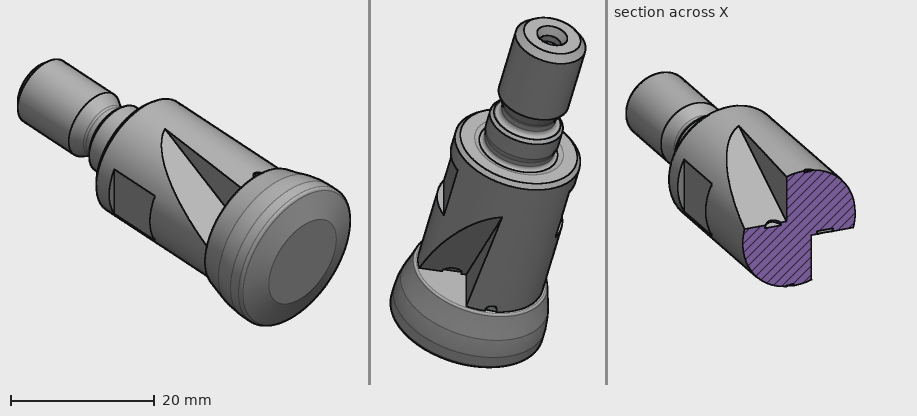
import cadquery as cq
import math

TOTAL_LENGTH = 51.8
BODY_START = 19.7
HEAD_START = 42.05

PILOT_RADIUS = 10.1 / 2
PILOT_END = 11.0
PILOT_CHAMFER = 1.0
NECK_RADIUS = 7.7 / 2
NECK_CONE_ANGLE = math.radians(30)
NECK_BLEND_START = 12.8
NECK_START = 13.15
NECK_END = 13.95
COLLAR_START = 14.7
COLLAR_RADIUS = 10.5 / 2
COLLAR_CHAMFER = 0.45
COLLAR_END = 17.8
UNDERCUT_START = 18.65
UNDERCUT_END = 19.25
UNDERCUT_RADIUS = 10.0 / 2
UNDERCUT_FILLET = 0.6
UNDERCUT_RIM_RADIUS = 6.35

BODY_RADIUS = 18.0 / 2
BODY_CHAMFER = 0.6
FLAT_START = 22.85
FLAT_LENGTH = 8.0
ACROSS_FLATS = 16.0

HEAD_RADIUS = 21.95 / 2
HEAD_REAR_RADIUS = 9.6
HEAD_TIP_RADIUS = 6.7
HEAD_SHOULDER = 47.15
HEAD_CROWN_START = 50.5
REAR_ROUND = 0.35
SHOULDER_ROUND = 10.35
CROWN_ROUND = 0.5

CENTRE_HOLE_RADIUS = 3.0 / 2
CENTRE_MOUTH_RADIUS = 2.2
CENTRE_CONE_HALF_ANGLE = math.radians(30)
CENTRE_PILOT_LENGTH = 1.05
DRILL_TIP_HALF_ANGLE = math.radians(59)

NOTCH_TIP_X = 25.75
NOTCH_WALL_END_Z = 1.35
NOTCH_FLOOR_TILT = 0.09
NOTCH_WALL_TIP_Y = -0.9
NOTCH_WALL_END_Y = -2.05

RELIEF_RADIUS = 1.4
RELIEF_Y = -4.15
RELIEF_DEPTH = 0.4
PIT_RADIUS = 0.85
PIT_Y = 1.45
PIT_CENTRE_X = 41.9
PIT_DEPTH = 0.35


def make_shank_and_body():
    """Revolve the stepped shank and the body, ending at the head."""
    blend_radius = PILOT_RADIUS - (NECK_BLEND_START - PILOT_END) * math.tan(NECK_CONE_ANGLE)
    neck_round = COLLAR_START - NECK_END
    undercut_corner_x = UNDERCUT_END + UNDERCUT_FILLET
    cos_45 = math.sqrt(0.5)
    profile = (
        cq.Workplane("XY")
        .moveTo(0, 0)
        .lineTo(0, PILOT_RADIUS - PILOT_CHAMFER)
        .lineTo(PILOT_CHAMFER, PILOT_RADIUS)
        .lineTo(PILOT_END, PILOT_RADIUS)
        .lineTo(NECK_BLEND_START, blend_radius)
        .tangentArcPoint((NECK_START, NECK_RADIUS), relative=False)
        .lineTo(NECK_END, NECK_RADIUS)
        .threePointArc(
            (NECK_END + neck_round * cos_45, NECK_RADIUS + neck_round * (1 - cos_45)),
            (COLLAR_START, NECK_RADIUS + neck_round),
        )
        .lineTo(COLLAR_START, COLLAR_RADIUS - COLLAR_CHAMFER)
        .lineTo(COLLAR_START + COLLAR_CHAMFER, COLLAR_RADIUS)
        .lineTo(COLLAR_END, COLLAR_RADIUS)
        .lineTo(UNDERCUT_START, UNDERCUT_RADIUS)
        .lineTo(UNDERCUT_END, UNDERCUT_RADIUS)
        .threePointArc(
            (
                UNDERCUT_END + UNDERCUT_FILLET * cos_45,
                UNDERCUT_RADIUS + UNDERCUT_FILLET * (1 - cos_45),
            ),
            (undercut_corner_x, UNDERCUT_RADIUS + UNDERCUT_FILLET),
        )
        .lineTo(BODY_START, UNDERCUT_RIM_RADIUS)
        .lineTo(BODY_START, BODY_RADIUS - BODY_CHAMFER)
        .lineTo(BODY_START + BODY_CHAMFER, BODY_RADIUS)
        .lineTo(HEAD_START, BODY_RADIUS)
        .lineTo(HEAD_START, 0)
        .close()
    )
    return profile.revolve(360, (0, 0, 0), (1, 0, 0))


def make_head():
    """Flared head with rounded rear rim, shoulder and crown edge."""
    head = (
        cq.Workplane("XY")
        .polyline([
            (HEAD_START, 0),
            (HEAD_START, HEAD_REAR_RADIUS),
            (HEAD_SHOULDER, HEAD_RADIUS),
            (HEAD_CROWN_START, HEAD_RADIUS),
            (TOTAL_LENGTH, HEAD_TIP_RADIUS),
            (TOTAL_LENGTH, 0),
        ])
        .close()
        .revolve(360, (0, 0, 0), (1, 0, 0))
    )
    widest = cq.selectors.RadiusNthSelector(-1)
    head = head.edges(widest).edges(">X").fillet(CROWN_ROUND)
    head = head.edges(widest).edges("<X").fillet(SHOULDER_ROUND)
    return head.faces("<X").edges().fillet(REAR_ROUND)


def make_centre_hole():
    """Countersunk centre hole with a drill-point bottom."""
    cone_depth = (CENTRE_MOUTH_RADIUS - CENTRE_HOLE_RADIUS) / math.tan(CENTRE_CONE_HALF_ANGLE)
    hole_depth = cone_depth + CENTRE_PILOT_LENGTH
    tip_depth = hole_depth + CENTRE_HOLE_RADIUS / math.tan(DRILL_TIP_HALF_ANGLE)
    return (
        cq.Workplane("XY")
        .polyline([
            (0, 0),
            (0, CENTRE_MOUTH_RADIUS),
            (cone_depth, CENTRE_HOLE_RADIUS),
            (hole_depth, CENTRE_HOLE_RADIUS),
            (tip_depth, 0),
        ])
        .close()
        .revolve(360, (0, 0, 0), (1, 0, 0))
    )


def make_flat_cut():
    """Material outside one wrench flat, on the -Y side."""
    depth = BODY_RADIUS - ACROSS_FLATS / 2
    return cq.Workplane("XY").box(
        FLAT_LENGTH, depth, 2 * BODY_RADIUS, centered=(False, False, True)
    ).translate((FLAT_START, -BODY_RADIUS, 0))


def make_notch_cut():
    """Upper chip notch with its corner relief and neighbouring pit."""
    side_wedge = (
        cq.Workplane("XY")
        .polyline([
            (NOTCH_TIP_X, NOTCH_WALL_TIP_Y),
            (HEAD_START, NOTCH_WALL_END_Y),
            (HEAD_START, -BODY_RADIUS),
            (NOTCH_TIP_X, -BODY_RADIUS),
        ])
        .close()
        .extrude(BODY_RADIUS)
    )
    tip_z = math.sqrt(BODY_RADIUS**2 - NOTCH_WALL_TIP_Y**2)
    tip = cq.Vector(NOTCH_TIP_X, NOTCH_WALL_TIP_Y, tip_z)
    wall_foot = cq.Vector(HEAD_START, NOTCH_WALL_END_Y, NOTCH_WALL_END_Z)
    outward = cq.Vector(0, -1, NOTCH_FLOOR_TILT)
    floor_normal = outward.cross(wall_foot - tip)
    relief_centre = wall_foot + outward * (NOTCH_WALL_END_Y - RELIEF_Y)
    floor_plane = cq.Plane(origin=relief_centre, xDir=outward, normal=floor_normal)
    above_floor = cq.Workplane(floor_plane).rect(TOTAL_LENGTH, TOTAL_LENGTH).extrude(TOTAL_LENGTH)
    relief = cq.Workplane(floor_plane).circle(RELIEF_RADIUS).extrude(-RELIEF_DEPTH)
    pit = (
        cq.Workplane("XY", origin=(PIT_CENTRE_X, PIT_Y, BODY_RADIUS - PIT_DEPTH))
        .circle(PIT_RADIUS)
        .extrude(PIT_DEPTH)
    )
    return side_wedge.intersect(above_floor).union(relief).union(pit)


body = make_shank_and_body().cut(make_centre_hole())
for side_cut in (make_flat_cut(), make_notch_cut()):
    for angle in (0, 180):
        body = body.cut(side_cut.rotate((0, 0, 0), (1, 0, 0), angle))

result = body.union(make_head())